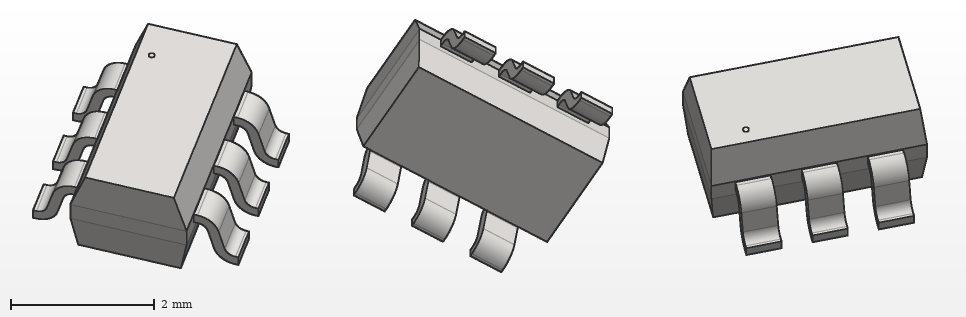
import cadquery as cq
import math


housing_length = 3.1
housing_width = 1.7
taper_height = 0.58
belt_height = 0.29
end_inset = 0.05
top_side_inset = 0.2
bottom_side_inset = 0.1
housing_height = 2 * taper_height + belt_height

lead_span = 3.0
lead_width = 0.508
lead_pitch = 0.952
leads_per_side = 3
lead_thickness = 0.16
lead_top = 0.85
foot_flat = 0.045
leg_angle = math.radians(75)
inner_radius = lead_thickness
outer_radius = inner_radius + lead_thickness

marker_diameter = 0.085
marker_depth = 0.02
marker_x = -0.428
marker_y = lead_pitch


def tapered_block(side_inset):
    """Block standing on the belt outline and narrowing upwards from Z = 0."""
    return (
        cq.Workplane("XY")
        .rect(housing_width, housing_length)
        .workplane(offset=taper_height)
        .rect(housing_width - 2 * side_inset, housing_length - 2 * end_inset)
        .loft(ruled=True)
    )


def make_marker():
    return (
        cq.Workplane("XY", origin=(marker_x, marker_y, housing_height - marker_depth))
        .circle(marker_diameter / 2)
        .extrude(marker_depth)
    )


def make_housing():
    lower = tapered_block(bottom_side_inset).mirror("XY").translate((0, 0, taper_height))
    belt = (
        cq.Workplane("XY", origin=(0, 0, taper_height))
        .rect(housing_width, housing_length)
        .extrude(belt_height)
    )
    upper = tapered_block(top_side_inset).translate((0, 0, taper_height + belt_height))
    return lower.union(belt).union(upper).cut(make_marker())


def make_lead():
    """Gull-wing lead on the +X side, centred on Y = 0 and butting against the belt."""
    root_x = housing_width / 2
    tip_x = lead_span / 2

    bend_radii = inner_radius + outer_radius
    leg_drop = lead_top - lead_thickness - bend_radii * (1 - math.cos(leg_angle))
    leg_run = leg_drop / math.tan(leg_angle)

    foot_x = tip_x - foot_flat
    foot_z = lead_thickness + inner_radius
    shoulder_x = foot_x - leg_run - bend_radii * math.sin(leg_angle)
    shoulder_z = lead_top - outer_radius

    def shoulder_point(radius, angle):
        return (shoulder_x + radius * math.sin(angle), shoulder_z + radius * math.cos(angle))

    def foot_point(radius, angle):
        return (foot_x - radius * math.sin(angle), foot_z - radius * math.cos(angle))

    half_angle = leg_angle / 2
    profile = (
        cq.Workplane("XZ", origin=(0, lead_width / 2, 0))
        .moveTo(root_x, lead_top)
        .lineTo(*shoulder_point(outer_radius, 0))
        .threePointArc(shoulder_point(outer_radius, half_angle), shoulder_point(outer_radius, leg_angle))
        .lineTo(*foot_point(inner_radius, leg_angle))
        .threePointArc(foot_point(inner_radius, half_angle), foot_point(inner_radius, 0))
        .lineTo(tip_x, lead_thickness)
        .lineTo(tip_x, 0)
        .lineTo(*foot_point(outer_radius, 0))
        .threePointArc(foot_point(outer_radius, half_angle), foot_point(outer_radius, leg_angle))
        .lineTo(*shoulder_point(inner_radius, leg_angle))
        .threePointArc(shoulder_point(inner_radius, half_angle), shoulder_point(inner_radius, 0))
        .lineTo(root_x, lead_top - lead_thickness)
        .close()
    )
    return profile.extrude(lead_width)


def make_leads():
    right_lead = make_lead()
    left_lead = right_lead.mirror("YZ")
    copies = []
    for lead in (left_lead, right_lead):
        for index in range(leads_per_side):
            lead_y = (index - (leads_per_side - 1) / 2) * lead_pitch
            copies.append(lead.translate((0, lead_y, 0)).solids().val())
    return copies


housing = make_housing()
marker = make_marker()
leads = make_leads()

result = cq.Compound.makeCompound([housing.solids().val(), marker.val(), *leads])